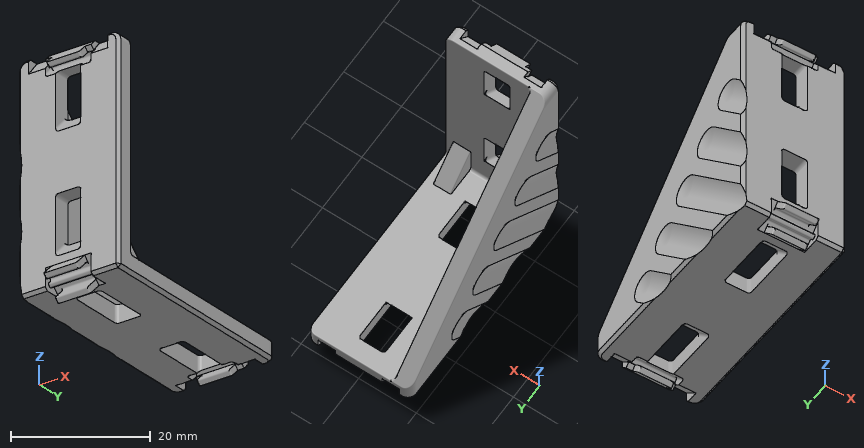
import cadquery as cq
LEG_LENGTH = 38.0
WIDTH = 18.0
PLATE_THICKNESS = 3.0
WALL_THICKNESS = 3.0
LEG_CORNER_RADIUS = 1.5
OUTER_CHAMFER = 0.5
INNER_FILLET = 0.5
RIM_FILLET = 0.18
HALF_WIDTH = WIDTH / 2
INNER_WALL_X = WALL_THICKNESS - HALF_WIDTH
OVERSHOOT = 4.0

GROOVE_COUNT = 5
GROOVE_PITCH = 5.3
GROOVE_MIDDLE = 14.45
GROOVE_RADIUS = 4.6
GROOVE_DEPTH = 0.7

SLOT_WIDTH = 4.48
SLOT_LENGTH = 7.0
SLOT_CENTRES = (11.27, 31.25)
SLOT_FILLET = 0.5

HOOK_WIDTH = 5.9
HOOK_TIP_FILLET = 0.28
HOOK_ROOT_FILLET = 0.3
RECESS_WIDTH = 8.1
CORNER_RECESS_HEIGHT = 3.48
CORNER_BEVEL_SUM = 3.4
CORNER_KNEE = 2.75
CORNER_HOOK_INNER_RISE = 2.05
CORNER_HOOK_PROTRUSION = 2.0
RIDGE_HALF_THICKNESS = 0.6
RIDGE_HEIGHT = 1.45
RIDGE_FILLET = 0.3
END_HOOK_OUTER_RISE = 36.95
END_HOOK_INNER_RISE = 35.55
END_HOOK_PROTRUSION = 1.3
END_HOOK_ROOT_SUM = 37.02
END_POCKET_FLOOR_RISE = 34.15
END_POCKET_BACK_SUM = 37.75
END_POCKET_FILLET = 0.4
NOTCH_SPAN = 14.07
NOTCH_DEPTH = 2.08
NOTCH_HEIGHT = 2.48

RIB_START_X = 4.5
RIB_END_X = 7.6
RIB_REACH = 8.08


def prism(points, x_start, x_end):
    """Solid with a (y, z) outline between two X positions."""
    return cq.Workplane("YZ").workplane(offset=x_start).polyline(points).close().extrude(x_end - x_start)


def diagonal_block(rise_start, rise_end, sum_start, sum_end, width):
    """Block centred on X with faces of constant z - y and constant y + z."""
    corners = (
        (rise_start, sum_start),
        (rise_end, sum_start),
        (rise_end, sum_end),
        (rise_start, sum_end),
    )
    points = [((total - rise) / 2, (total + rise) / 2) for rise, total in corners]
    return prism(points, -width / 2, width / 2)


def swap_legs(solid):
    """Mirror image in the plane y = z."""
    return solid.mirror((0, 1, -1))


def make_body():
    """Two plates and the side wall, with chamfered outer faces and a rounded inner rim."""
    outline = [
        (0, 0),
        (LEG_LENGTH, 0),
        (LEG_LENGTH, PLATE_THICKNESS),
        (PLATE_THICKNESS, LEG_LENGTH),
        (0, LEG_LENGTH),
    ]
    body = prism(outline, -HALF_WIDTH, HALF_WIDTH)
    body = body.faces(">Z").edges("|Y").fillet(LEG_CORNER_RADIUS)
    body = body.faces(">Y").edges("|Z").fillet(LEG_CORNER_RADIUS)
    body = body.faces("<Y or <Z").edges().chamfer(OUTER_CHAMFER)
    far = 2 * LEG_LENGTH
    corner = (PLATE_THICKNESS, PLATE_THICKNESS)
    hollow = prism([corner, (far, PLATE_THICKNESS), (PLATE_THICKNESS, far)], INNER_WALL_X, WIDTH)
    hollow = hollow.edges("(<X and (|Y or |Z)) or (|X and <(0, 1, 1))").fillet(INNER_FILLET)
    body = body.cut(hollow)
    body = body.faces(">(0, 1, 1)").edges().fillet(RIM_FILLET)
    plate_rim = (HALF_WIDTH, LEG_LENGTH / 2, PLATE_THICKNESS)
    return body.edges(cq.selectors.NearestToPointSelector(plate_rim)).fillet(RIM_FILLET)


def make_rib():
    """Triangular rib whose sloping face meets each plate at the rib reach."""
    reach_sum = PLATE_THICKNESS + RIB_REACH
    outline = [
        (OUTER_CHAMFER, OUTER_CHAMFER),
        (reach_sum - OUTER_CHAMFER, OUTER_CHAMFER),
        (OUTER_CHAMFER, reach_sum - OUTER_CHAMFER),
    ]
    rib = prism(outline, RIB_START_X, RIB_END_X)
    return rib.faces(">(0, 1, 1)").edges("not |X").fillet(RIM_FILLET)


def make_groove(position):
    """Round-ended groove that starts at the given y and runs down at 45 degrees."""
    axis_x = GROOVE_DEPTH - HALF_WIDTH - GROOVE_RADIUS
    start = (axis_x, position, 2 * GROOVE_MIDDLE - position)
    axis_plane = cq.Plane(origin=start, xDir=(1, 0, 0), normal=(0, -1, -1))
    channel = cq.Workplane(axis_plane).circle(GROOVE_RADIUS).extrude(LEG_LENGTH)
    end = cq.Workplane("XY").sphere(GROOVE_RADIUS).translate(start)
    return channel.union(end)


def make_slot(centre):
    """Slot through the upright plate, with its lower end sloping up into the part."""
    top = centre + SLOT_LENGTH / 2
    inner_bottom = centre - SLOT_LENGTH / 2
    outer_bottom = inner_bottom - PLATE_THICKNESS
    inner_y = PLATE_THICKNESS + OVERSHOOT
    outline = [
        (-OVERSHOOT, outer_bottom - OVERSHOOT),
        (PLATE_THICKNESS, inner_bottom),
        (inner_y, inner_bottom),
        (inner_y, top),
        (-OVERSHOOT, top),
    ]
    slot = prism(outline, -SLOT_WIDTH / 2, SLOT_WIDTH / 2)
    return slot.edges("|(0, 1, 1) or (>Z and |Y)").fillet(SLOT_FILLET)


def make_hook(outer_rise, inner_rise, protrusion, base_sum):
    """Bar rooted at the given sum; its sharp tip edge stands the protrusion in front of the plate."""
    tip_sum = outer_rise - 2 * protrusion
    hook = diagonal_block(inner_rise, outer_rise, tip_sum, base_sum, HOOK_WIDTH)
    tip = hook.faces("<(0, 1, 1)")
    return tip.edges("not(|X and >(0, -1, 1))").fillet(HOOK_TIP_FILLET)


def cut_end_recess(body):
    """Notches and hook pocket at the upper end of the upright plate."""
    notch_bottom = LEG_LENGTH - NOTCH_HEIGHT
    notch_outline = [
        (0, notch_bottom),
        (NOTCH_DEPTH, LEG_LENGTH),
        (NOTCH_DEPTH, LEG_LENGTH + OVERSHOOT),
        (-OVERSHOOT, LEG_LENGTH + OVERSHOOT),
        (-OVERSHOOT, notch_bottom),
    ]
    notch = prism(notch_outline, RECESS_WIDTH / 2, NOTCH_SPAN / 2)
    low_sum = LEG_LENGTH / 2
    high_sum = 2 * LEG_LENGTH
    high_rise = LEG_LENGTH + OVERSHOOT
    above_hook = diagonal_block(END_HOOK_OUTER_RISE, high_rise, low_sum, high_sum, RECESS_WIDTH)
    beside_hook = diagonal_block(END_HOOK_INNER_RISE, high_rise, low_sum, END_HOOK_ROOT_SUM, RECESS_WIDTH)
    pocket = diagonal_block(
        END_POCKET_FLOOR_RISE, END_HOOK_INNER_RISE, low_sum, END_POCKET_BACK_SUM, RECESS_WIDTH
    )
    pocket = pocket.faces("<(0, -1, 1)").edges("not(|X and <(0, 1, 1))").fillet(END_POCKET_FILLET)
    for cutter in (notch, notch.mirror("YZ"), above_hook, beside_hook, pocket):
        body = body.cut(cutter)
    return body


def cut_corner_recess(body):
    """Bevel across the outer corner, with a rounded ridge left along its middle."""
    knee = CORNER_BEVEL_SUM - CORNER_KNEE
    outline = [
        (-OVERSHOOT, CORNER_RECESS_HEIGHT),
        (0, CORNER_RECESS_HEIGHT),
        (knee, CORNER_KNEE),
        (CORNER_KNEE, knee),
        (CORNER_RECESS_HEIGHT, 0),
        (CORNER_RECESS_HEIGHT, -OVERSHOOT),
        (-OVERSHOOT, -OVERSHOOT),
    ]
    recess = prism(outline, -RECESS_WIDTH / 2, RECESS_WIDTH / 2)
    ridge = diagonal_block(
        -RIDGE_HALF_THICKNESS,
        RIDGE_HALF_THICKNESS,
        CORNER_BEVEL_SUM - RIDGE_HEIGHT,
        CORNER_BEVEL_SUM,
        RECESS_WIDTH,
    )
    recess = recess.cut(ridge)
    ridge_edges = recess.faces("|(0, -1, 1)").edges("|X")
    return body.cut(ridge_edges.fillet(RIDGE_FILLET))


body = make_body().union(make_rib())
first_groove = GROOVE_MIDDLE - GROOVE_PITCH * (GROOVE_COUNT - 1) / 2
for index in range(GROOVE_COUNT):
    body = body.cut(make_groove(first_groove + index * GROOVE_PITCH))
for centre in SLOT_CENTRES:
    slot = make_slot(centre)
    body = body.cut(slot).cut(swap_legs(slot))
body = cut_corner_recess(body)
corner_hook = make_hook(
    CORNER_RECESS_HEIGHT, CORNER_HOOK_INNER_RISE, CORNER_HOOK_PROTRUSION, CORNER_RECESS_HEIGHT
)
end_hook = make_hook(END_HOOK_OUTER_RISE, END_HOOK_INNER_RISE, END_HOOK_PROTRUSION, END_HOOK_ROOT_SUM)
body = swap_legs(cut_end_recess(swap_legs(cut_end_recess(body))))
for hook in (corner_hook, end_hook):
    body = body.union(hook).union(swap_legs(hook))
root_near = (CORNER_BEVEL_SUM - CORNER_HOOK_INNER_RISE) / 2
root_far = (CORNER_BEVEL_SUM + CORNER_HOOK_INNER_RISE) / 2
for root in ((0, root_near, root_far), (0, root_far, root_near)):
    body = body.edges(cq.selectors.NearestToPointSelector(root)).fillet(HOOK_ROOT_FILLET)
result = body